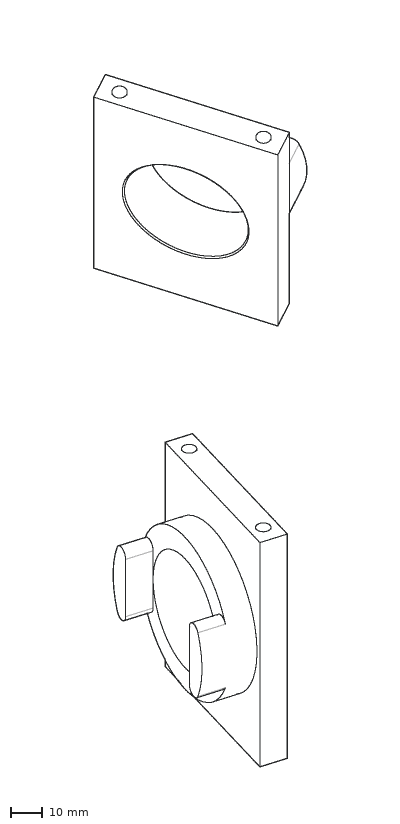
import cadquery as cq
import math

plate_width = 64.0
plate_height = 88.5
plate_thickness = 10.1

collar_diameter = 60.0
collar_length = 10.1
bore_diameter = 43.0
bore_chamfer = 0.5

arm_length = 10.1
arm_end_radius = 3.0

pin_hole_diameter = 5.0
pin_hole_spacing = 50.0
pin_hole_depth = 10.0

collar_radius = collar_diameter / 2
bore_radius = bore_diameter / 2
collar_back = plate_thickness + collar_length


def make_plate():
    return cq.Workplane("XY").box(
        plate_width, plate_thickness, plate_height, centered=(True, False, True)
    )


def make_collar():
    return cq.Workplane("XZ", origin=(0, plate_thickness, 0)).circle(collar_radius).extrude(-collar_length)


def make_bore():
    """Bore through plate and collar, widening to a small chamfer at the front face."""
    mouth_radius = bore_radius + bore_chamfer
    half_section = [
        (0, 0),
        (mouth_radius, 0),
        (bore_radius, bore_chamfer),
        (bore_radius, collar_back),
        (0, collar_back),
    ]
    return cq.Workplane("XY").polyline(half_section).close().revolve(360, (0, 0), (0, 1))


def make_right_arm():
    """Arm with a flat inner face touching the bore circle and an outer face on the collar circle.

    Each end is one arc, tangent to the inner face and to the collar circle.
    """
    end_center_distance = collar_radius - arm_end_radius
    end_x = bore_radius + arm_end_radius
    end_z = math.sqrt(end_center_distance**2 - end_x**2)
    tip_z = end_z + arm_end_radius
    tangent_scale = collar_radius / end_center_distance
    tangent_x = end_x * tangent_scale
    tangent_z = end_z * tangent_scale
    return (
        cq.Workplane("XZ", origin=(0, collar_back, 0))
        .moveTo(bore_radius, -end_z)
        .lineTo(bore_radius, end_z)
        .threePointArc((end_x, tip_z), (tangent_x, tangent_z))
        .threePointArc((collar_radius, 0), (tangent_x, -tangent_z))
        .threePointArc((end_x, -tip_z), (bore_radius, -end_z))
        .close()
        .extrude(-arm_length)
    )


def make_pin_holes():
    return (
        cq.Workplane("XY", origin=(0, plate_thickness / 2, plate_height / 2))
        .rarray(pin_hole_spacing, 0.9, 2, 1)
        .circle(pin_hole_diameter / 2)
        .extrude(-pin_hole_depth)
    )


right_arm = make_right_arm()
left_arm = right_arm.mirror("YZ")

result = (
    make_plate()
    .union(make_collar())
    .cut(make_bore())
    .union(right_arm)
    .union(left_arm)
    .cut(make_pin_holes())
)